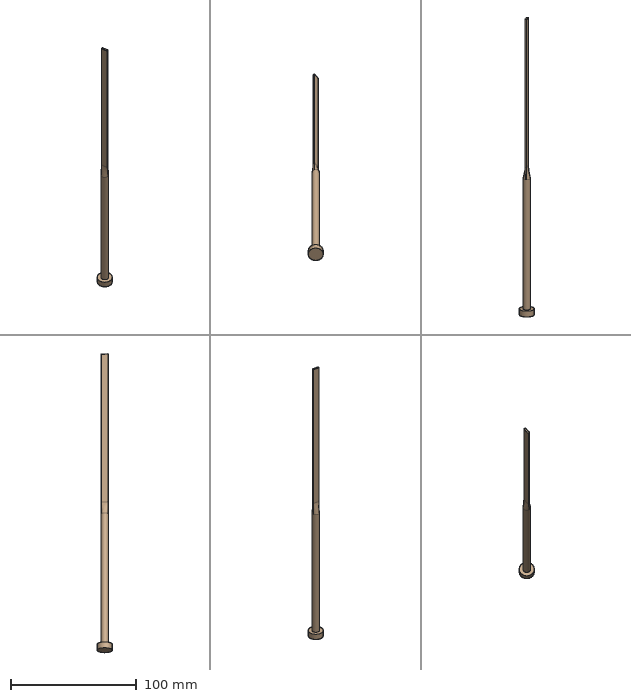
import cadquery as cq

TOTAL_LENGTH = 250.0
HEAD_DIAMETER = 12.0
HEAD_HEIGHT = 5.0
SHANK_DIAMETER = 6.0
BLADE_WIDTH = 5.5
BLADE_THICKNESS = 1.5
BLADE_LENGTH = TOTAL_LENGTH / 2
TRANSITION_LENGTH = 10.0

BLADE_BASE_Z = TOTAL_LENGTH - BLADE_LENGTH
SHANK_TOP_Z = BLADE_BASE_Z - TRANSITION_LENGTH


def make_head():
    """Round head that carries the pin."""
    return cq.Workplane("XY").circle(HEAD_DIAMETER / 2).extrude(HEAD_HEIGHT)


def make_shank():
    """Round shank from the bottom of the head to the start of the transition."""
    return cq.Workplane("XY").circle(SHANK_DIAMETER / 2).extrude(SHANK_TOP_Z)


def make_transition():
    """Ruled loft from the round shank to the rectangular blade section."""
    return (
        cq.Workplane("XY", origin=(0, 0, SHANK_TOP_Z))
        .circle(SHANK_DIAMETER / 2)
        .workplane(offset=TRANSITION_LENGTH)
        .rect(BLADE_WIDTH, BLADE_THICKNESS)
        .loft(ruled=True)
    )


def make_blade():
    """Thin rectangular blade up to the tip."""
    return (
        cq.Workplane("XY", origin=(0, 0, BLADE_BASE_Z))
        .rect(BLADE_WIDTH, BLADE_THICKNESS)
        .extrude(BLADE_LENGTH)
    )


result = make_head().union(make_shank()).union(make_transition()).union(make_blade())